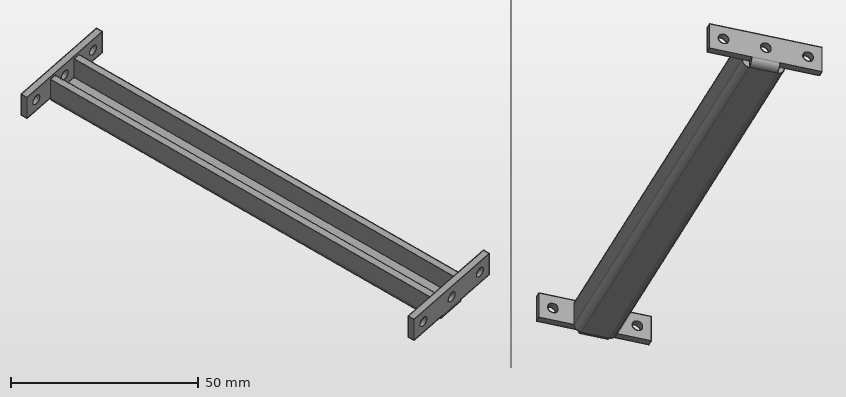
import cadquery as cq

length = 135.0
plate_width = 32.0
height = 10.0

thickness = 2.0
bend_radius = thickness
channel_width = 12.0
wall_height = 9.0
channel_length = length - 2 * thickness
inside_width = channel_width - 2 * thickness

plate_height = height - bend_radius
plate_center_x = (length - thickness) / 2
hole_diameter = 3.0
hole_spacing = 12.0
hole_z = bend_radius + plate_height / 2


def box_on(x, z, size_x, size_y, size_z):
    """Box centred at x and on the XZ plane, with its bottom face at z."""
    return cq.Workplane("XY", origin=(x, 0, z)).box(size_x, size_y, size_z, centered=(True, True, False))


def make_channel():
    """U-shaped rail along X, with both lower outside corners rounded."""
    outside = box_on(0, 0, channel_length, channel_width, wall_height).edges("|X and <Z").fillet(bend_radius)
    trough = box_on(0, thickness, channel_length, inside_width, wall_height)
    return outside.cut(trough)


def make_end_plate(side):
    """Drilled plate with a quarter-round tongue below it; side is -1 or +1 along X."""
    center_x = side * plate_center_x
    plate = box_on(center_x, bend_radius, thickness, plate_width, plate_height)

    bend = (
        cq.Workplane("XZ", origin=(side * channel_length / 2, 0, bend_radius))
        .circle(bend_radius)
        .extrude(inside_width / 2, both=True)
    )
    tongue = bend.intersect(box_on(center_x, 0, thickness, inside_width, bend_radius))

    holes = (
        cq.Workplane("YZ", origin=(center_x, 0, hole_z))
        .rarray(hole_spacing, 1.4, 3, 1)
        .circle(hole_diameter / 2)
        .extrude(thickness, both=True)
    )
    return plate.union(tongue).cut(holes)


channel = make_channel()
end_plates = [make_end_plate(side) for side in (-1, 1)]

result = cq.Compound.makeCompound([channel.val(), *[plate.val() for plate in end_plates]])